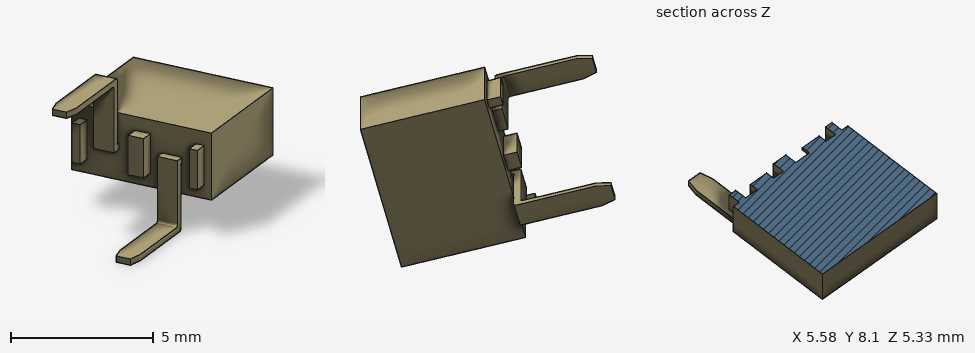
import cadquery as cq

body_width = 5.58
body_depth = 4.51
body_height = 2.57

rib_length = 0.5
rib_height = 1.51
side_rib_width = 0.32
side_rib_offset = 2.34
middle_rib_width = 0.615
middle_rib_offset = 0.05

overall_depth = 8.1
overall_height = 5.33
pin_reach = overall_depth - body_depth
pin_top = overall_height / 2
leg_gap = 0.09
leg_thickness = 0.26
blade_thickness = 0.24
leg_overlap = 0.11
stub_thickness = 0.24
outer_bend_radius = 0.13
inner_bend_radius = 0.105
tip_width = 0.57
tip_length = 0.51
up_pin_width = 0.83
up_pin_x = -1.32
down_pin_width = 0.8
down_pin_x = 1.22


def make_rib(x, width):
    """Upright rib standing out from the front face."""
    return (
        cq.Workplane("XY")
        .box(width, rib_length, rib_height)
        .translate((x, -rib_length / 2, 0))
    )


def make_pin(width):
    """Upward pin centred on X = 0: stub, vertical leg, bend and tapered blade."""
    leg_back = -leg_gap
    leg_front = leg_back - leg_thickness
    blade_bottom = pin_top - blade_thickness
    stub_top = stub_thickness - leg_overlap
    side_profile = (
        cq.Workplane("YZ")
        .moveTo(0, -leg_overlap)
        .lineTo(leg_front, -leg_overlap)
        .lineTo(leg_front, blade_bottom - inner_bend_radius)
        .radiusArc((leg_front - inner_bend_radius, blade_bottom), -inner_bend_radius)
        .lineTo(-pin_reach, blade_bottom)
        .lineTo(-pin_reach, pin_top)
        .lineTo(leg_back - outer_bend_radius, pin_top)
        .radiusArc((leg_back, pin_top - outer_bend_radius), outer_bend_radius)
        .lineTo(leg_back, stub_top)
        .lineTo(0, stub_top)
        .close()
    )
    strip = side_profile.extrude(width / 2, both=True)

    taper_start = tip_length - pin_reach
    plan = (
        cq.Workplane("XY")
        .workplane(offset=-leg_overlap)
        .polyline([
            (-width / 2, 0),
            (-width / 2, taper_start),
            (-tip_width / 2, -pin_reach),
            (tip_width / 2, -pin_reach),
            (width / 2, taper_start),
            (width / 2, 0),
        ])
        .close()
        .extrude(pin_top + leg_overlap)
    )
    return strip.intersect(plan)


body = cq.Workplane("XY").box(body_width, body_depth, body_height).translate((0, body_depth / 2, 0))

ribs = [
    (-side_rib_offset, side_rib_width),
    (middle_rib_offset, middle_rib_width),
    (side_rib_offset, side_rib_width),
]
for rib_x, rib_width in ribs:
    body = body.union(make_rib(rib_x, rib_width))

up_pin = make_pin(up_pin_width).translate((up_pin_x, 0, 0))
down_pin = make_pin(down_pin_width).mirror("XY").translate((down_pin_x, 0, 0))

result = body.union(up_pin).union(down_pin)